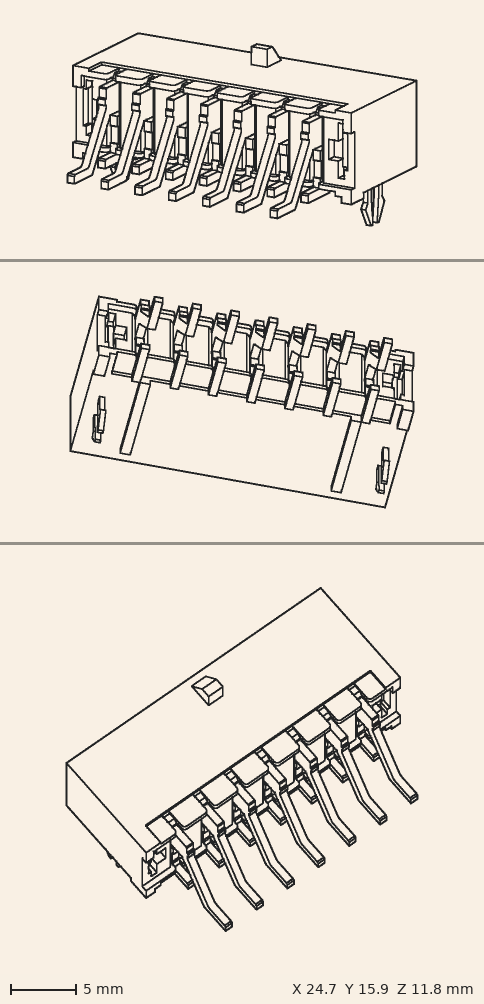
import cadquery as cq


length = 24.7
overall_depth = 15.9
overall_height = 11.85

depth = 9.9
top_z = 7.34
underside_z = 0.47
roof_z = 6.65
recess_floor_z = 1.19
recess_depth = 0.5
corner_lip_z = 5.68
corner_lip_width = 0.75
step_half_length = 10.92
step_depth = 1.9
top_step_z = 7.11
bottom_step_z = 0.82

foot_width = 0.86
rib_half_span = 8.67
rib_width = 0.8
rib_back_y = 8.9

latch_width = 1.38
latch_height = 1.43
latch_front_y = 7.15
latch_flat = 0.82
latch_run = 1.3

pin_count = 7
pin_row_span = 18.0
pitch = pin_row_span / (pin_count - 1)
pin_width = 0.65
pin_thickness = 0.72
pin_tip_chamfer = 0.12
pin_tip_y = depth - overall_depth
lower_pin_tip_y = -1.35
pin_head_chamfer = 0.07
shoulder_bend_radius = 0.4
foot_bend_radius = 0.37

mouth_size = 0.3

clip_thickness = 0.42
clip_inner_x = step_half_length
clip_middle_y = 5.34
clip_tip_z = top_z + latch_height - overall_height

pocket_depth = 0.82
clip_setback = 0.7
clip_window = (11.73, 2.5, 5.45)
narrow_slot = (11.45, 1.78, 6.18)
side_notch = (10.05, 3.14, 4.75)


def box(x0, x1, y0, y1, z0, z1):
    """Box given by its limits along the three axes."""
    return cq.Workplane("XY").box(x1 - x0, y1 - y0, z1 - z0, centered=False).translate((x0, y0, z0))


def profile(points, width, middle_x):
    """Outline in the YZ plane, extruded evenly about middle_x."""
    plate = cq.Workplane("YZ").polyline(points).close().extrude(width / 2, both=True)
    return plate.translate((middle_x, 0, 0))


def both_ends(shape):
    """The shape and its mirror image at the other end of the housing."""
    return shape.union(shape.mirror("YZ"))


def make_shell():
    half = length / 2
    shell = box(-half, half, 0, depth, underside_z, top_z)
    shell = shell.cut(box(-half, half, 0, recess_depth, recess_floor_z, corner_lip_z))
    inner = half - corner_lip_width
    shell = shell.cut(box(-inner, inner, 0, recess_depth, corner_lip_z, roof_z))
    step = step_half_length
    shell = shell.cut(box(-step, step, 0, step_depth, top_step_z, top_z))
    return shell.cut(box(-step, step, 0, step_depth, underside_z, bottom_step_z))


def make_feet():
    corner_foot = box(length / 2 - foot_width, length / 2, 0, step_depth, 0, underside_z)
    rib = box(rib_half_span - rib_width, rib_half_span, step_depth, rib_back_y, 0, underside_z)
    return both_ends(corner_foot.union(rib))


def make_latch():
    back_y = latch_front_y + latch_flat
    peak_z = top_z + latch_height
    outline = [(latch_front_y, top_z), (latch_front_y, peak_z), (back_y, peak_z), (back_y + latch_run, top_z)]
    return profile(outline, latch_width, 0)


def make_slot(x):
    """Full-height slot with rounded lips on the plates and a bevelled mouth in the recess wall."""
    half = pin_width / 2
    wide = half + mouth_size
    slot = box(x - half, x + half, 0, step_depth, underside_z, top_z)
    wall_mouth = (
        cq.Workplane("XY")
        .polyline([
            (-wide, recess_depth), (wide, recess_depth),
            (half, recess_depth + mouth_size), (-half, recess_depth + mouth_size),
        ])
        .close()
        .extrude(roof_z - recess_floor_z)
        .translate((x, 0, recess_floor_z))
    )
    plate_mouth = (
        cq.Workplane("XY")
        .moveTo(-wide, 0)
        .radiusArc((-half, mouth_size), -mouth_size)
        .lineTo(half, mouth_size)
        .radiusArc((wide, 0), -mouth_size)
        .close()
        .extrude(top_z - underside_z)
        .translate((x, 0, underside_z))
    )
    return slot.union(wall_mouth).union(plate_mouth)


def make_upper_pin(x):
    """Pin that leaves high, slopes down to the board and ends in a flat foot."""
    neck_underside_z = 4.08
    slope_top_y = -0.57
    slope_bottom_y = -3.3
    head_y = -1.19
    head_z = 6.4
    hump_z = 6.92
    hump_toe = (0.9, 6.57)
    hump_brow = (1.05, 6.75)
    hump_front_y = 1.19
    hump_back_y = 1.75
    shoulder_y = -1.35
    shoulder_z = 5.58
    neck_y = -1.2
    neck_z = 5.05
    shoulder_bend = (neck_y, 4.8)
    foot_bend = (-3.88, pin_thickness)
    outline = [
        (step_depth, neck_underside_z), (slope_top_y, neck_underside_z), (slope_bottom_y, 0), (pin_tip_y, 0),
        (pin_tip_y, pin_thickness - pin_tip_chamfer), (pin_tip_y + pin_tip_chamfer, pin_thickness),
        foot_bend, shoulder_bend, (neck_y, neck_z), (shoulder_y, neck_z),
        (shoulder_y, shoulder_z - pin_head_chamfer), (shoulder_y + pin_head_chamfer, shoulder_z),
        (head_y, shoulder_z), (head_y, head_z - pin_head_chamfer), (head_y + pin_head_chamfer, head_z),
        (hump_toe[0], head_z), hump_toe, hump_brow,
        (hump_front_y, hump_z), (hump_back_y, hump_z), (step_depth, top_step_z),
    ]
    pin = profile(outline, pin_width, x)
    pin = pin.edges(cq.NearestToPointSelector((x, *shoulder_bend))).fillet(shoulder_bend_radius)
    return pin.edges(cq.NearestToPointSelector((x, *foot_bend))).fillet(foot_bend_radius)


def make_lower_pin(x):
    """Pin that runs down inside its slot and turns out into a short foot."""
    tip_y = lower_pin_tip_y
    head_y = recess_depth
    head_bottom_z = 2.87
    head_top_z = 3.7
    face_y = 0.65
    shoulder_y = 0.5
    shoulder_z = 1.48
    outline = [
        (step_depth, 0), (tip_y, 0),
        (tip_y, pin_thickness - pin_tip_chamfer), (tip_y + pin_tip_chamfer, pin_thickness),
        (shoulder_y, pin_thickness), (shoulder_y, shoulder_z), (face_y, shoulder_z),
        (face_y, head_bottom_z), (head_y, head_bottom_z), (head_y, head_top_z), (step_depth, head_top_z),
    ]
    return profile(outline, pin_width, x)


def make_clip_pocket():
    window_x, window_z0, window_z1 = clip_window
    narrow_x, narrow_z0, narrow_z1 = narrow_slot
    notch_x, notch_z0, notch_z1 = side_notch
    back_y = recess_depth + pocket_depth
    pocket = box(clip_inner_x, window_x, recess_depth, back_y, window_z0, window_z1)
    pocket = pocket.union(box(clip_inner_x, narrow_x, recess_depth, back_y, narrow_z0, narrow_z1))
    pocket = pocket.union(box(notch_x, clip_inner_x, recess_depth, back_y, notch_z0, notch_z1))
    clip_front = recess_depth + clip_setback
    clip_outer_x = clip_inner_x + clip_thickness
    return pocket.cut(box(clip_inner_x, clip_outer_x, clip_front, back_y, window_z0, window_z1))


def make_clip():
    """Two barbed legs, given as offsets from the clip's middle line."""
    inner_side = 0.52
    inner_bevel = 0.2
    inner_bevel_z = 0.2
    tip_inner_side = 0.35
    tip_width = 0.25
    tip_straight_z = -2.72
    outer_side = 1.09
    barb_top_z = -1.14
    barb_point = (1.43, -1.6)
    leg_outline = [
        (inner_side + inner_bevel, underside_z), (inner_side, inner_bevel_z), (inner_side, barb_top_z),
        (tip_inner_side, tip_straight_z), (tip_inner_side, clip_tip_z),
        (tip_inner_side + tip_width, clip_tip_z), barb_point,
        (outer_side, barb_top_z), (outer_side, underside_z),
    ]
    middle_x = clip_inner_x + clip_thickness / 2
    leg = profile(leg_outline, clip_thickness, middle_x)
    return leg.union(leg.mirror("XZ")).translate((0, clip_middle_y, 0))


result = make_shell().cut(both_ends(make_clip_pocket()))
result = result.union(make_feet()).union(make_latch()).union(both_ends(make_clip()))
pin_places = [i * pitch - pin_row_span / 2 for i in range(pin_count)]
for pin_x in pin_places:
    result = result.cut(make_slot(pin_x))
    result = result.union(make_upper_pin(pin_x)).union(make_lower_pin(pin_x))